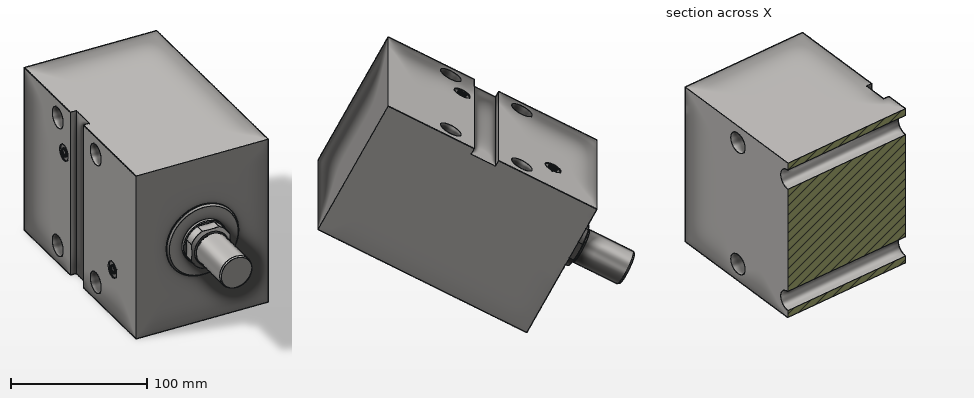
import cadquery as cq


total_length = 227.0
housing_depth = 110.0
housing_height = 140.0

gland_length = 2.5
rod_length = 14.5
neck_length = 1.4
stud_thread_length = 37.7

housing_length = total_length - rod_length - neck_length - stud_thread_length
front_edge_chamfer = 0.2
slot_start = 71.5
slot_width = 20.2
slot_depth = 5.0
bolt_hole_diameter = 17.0
bolt_hole_columns = (52.0, 111.0)
bolt_hole_spacing_z = 109.9

port_positions = ((61.5, 30.0), (136.9, -30.0))
port_recess_diameter = 13.2
port_recess_depth = 1.0
port_ring_outer_diameter = 7.0
port_ring_inner_diameter = 5.7

gland_radius = 30.0
gland_chamfer = 1.4

rod_radius = 18.2
rod_shoulder = 5.7
rod_shoulder_chamfer = 0.7
wrench_radius = 17.5
wrench_flat_width = 32.0
wrench_flat_count = 4
rod_end_chamfer_length = 1.1
rod_end_chamfer_depth = 3.5

stud_radius = 13.5
neck_radius = 12.5
stud_chamfer_length = 1.4
stud_chamfer_depth = 0.7

housing_front_y = -housing_depth / 2


def front_workplane(y):
    """Plane facing -Y at the given y, with local x along X and local y along Z."""
    return cq.Workplane("XZ", origin=(0, y, 0))


def turned_part(profile):
    """Revolve an (axial, radial) outline around the rod axis, with axial 0 on the housing end face."""
    outline = cq.Workplane("XY", origin=(housing_length, 0, 0)).polyline(profile).close()
    return outline.revolve(360, (0, 0, 0), (1, 0, 0))


def make_housing():
    block = cq.Workplane("XY").box(housing_length, housing_depth, housing_height, centered=(False, True, True))
    block = block.edges("|X and <Y").chamfer(front_edge_chamfer)

    slot = cq.Workplane("XY").box(slot_width, slot_depth, housing_height, centered=(False, False, True))
    block = block.cut(slot.translate((slot_start, housing_front_y, 0)))

    bolt_holes = [
        (x, side * bolt_hole_spacing_z / 2)
        for x in bolt_hole_columns
        for side in (-1, 1)
    ]
    bolt_cutters = front_workplane(-housing_front_y).pushPoints(bolt_holes).circle(bolt_hole_diameter / 2)
    block = block.cut(bolt_cutters.extrude(housing_depth))

    recesses = front_workplane(housing_front_y).pushPoints(port_positions).circle(port_recess_diameter / 2)
    return block.cut(recesses.extrude(-port_recess_depth))


def make_port_ring(x, z):
    """Thin ring that stands on the floor of a port recess and ends level with the front face."""
    ring = front_workplane(housing_front_y).center(x, z)
    ring = ring.circle(port_ring_outer_diameter / 2).circle(port_ring_inner_diameter / 2)
    return ring.extrude(-port_recess_depth)


def make_gland():
    return turned_part([
        (0, rod_radius),
        (0, gland_radius),
        (gland_length - gland_chamfer, gland_radius),
        (gland_length, gland_radius - gland_chamfer),
        (gland_length, rod_radius),
    ])


def make_rod():
    """Rod end that starts on the housing face and passes through the gland to the wrench flats."""
    rod = turned_part([
        (0, 0),
        (0, rod_radius),
        (rod_shoulder - rod_shoulder_chamfer, rod_radius),
        (rod_shoulder, wrench_radius),
        (rod_length - rod_end_chamfer_length, wrench_radius),
        (rod_length, wrench_radius - rod_end_chamfer_depth),
        (rod_length, 0),
    ])
    flat_cutter = cq.Workplane("XY").box(
        rod_length - rod_shoulder, 2 * rod_radius, rod_radius, centered=(False, True, False)
    ).translate((housing_length + rod_shoulder, 0, wrench_flat_width / 2))
    for index in range(wrench_flat_count):
        angle = index * 360 / wrench_flat_count
        rod = rod.cut(flat_cutter.rotate((0, 0, 0), (1, 0, 0), angle))
    return rod


def make_stud():
    """Stud whose narrow neck stands on the end face of the rod."""
    neck_end = rod_length + neck_length
    stud_end = neck_end + stud_thread_length
    return turned_part([
        (rod_length, 0),
        (rod_length, neck_radius),
        (neck_end, neck_radius),
        (neck_end, stud_radius),
        (stud_end - stud_chamfer_length, stud_radius),
        (stud_end, stud_radius - stud_chamfer_depth),
        (stud_end, 0),
    ])


housing = make_housing()
gland = make_gland()
rod = make_rod()
stud = make_stud()
port_rings = [make_port_ring(x, z).val() for x, z in port_positions]

result = cq.Compound.makeCompound([housing.val(), gland.val(), rod.val(), stud.val(), *port_rings])